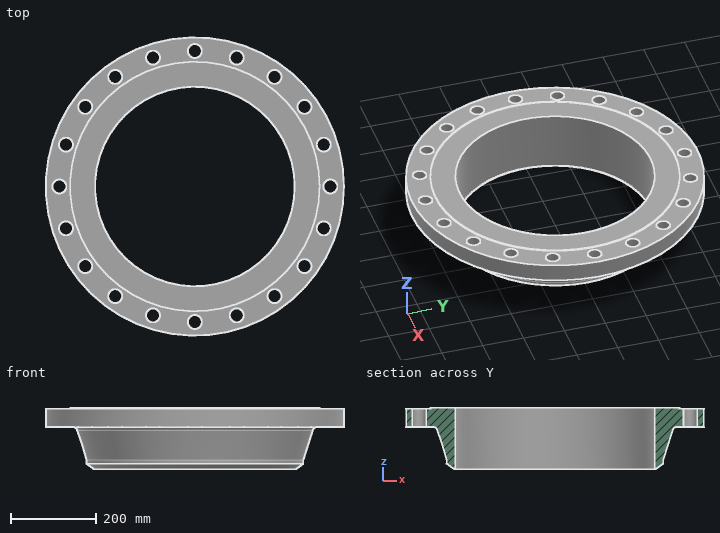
import cadquery as cq

flange_diameter = 698.5
flange_thickness = 43.0
total_height = 144.5

face_diameter = 584.0
face_height = 2.0

bore_diameter = 466.5
hub_top_diameter = 557.5
neck_diameter = 508.5
neck_tip_diameter = 472.0
neck_bevel_height = 13.0
neck_straight_height = 9.0
root_radius = 10.5

bolt_count = 20
bolt_circle_diameter = 634.0
bolt_hole_diameter = 32.0

flange_top = total_height - face_height
flange_bottom = flange_top - flange_thickness
taper_bottom = neck_bevel_height + neck_straight_height


def make_neck_flange():
    """Revolve the half section of the flange, hub and bevelled weld end about Z."""
    section = (
        cq.Workplane("XZ")
        .moveTo(bore_diameter / 2, 0)
        .lineTo(neck_tip_diameter / 2, 0)
        .lineTo(neck_diameter / 2, neck_bevel_height)
        .lineTo(neck_diameter / 2, taper_bottom)
        .lineTo(hub_top_diameter / 2, flange_bottom)
        .lineTo(flange_diameter / 2, flange_bottom)
        .lineTo(flange_diameter / 2, flange_top)
        .lineTo(face_diameter / 2, flange_top)
        .lineTo(face_diameter / 2, total_height)
        .lineTo(bore_diameter / 2, total_height)
        .close()
    )
    return section.revolve(360, (0, 0, 0), (0, 1, 0))


def round_hub_root(body):
    """Round the inner corner where the hub meets the back of the flange."""
    margin = root_radius / 2
    reach = hub_top_diameter / 2 + margin
    hub_root = cq.selectors.BoxSelector(
        (-reach, -reach, flange_bottom - margin),
        (reach, reach, flange_bottom + margin),
        boundingbox=True,
    )
    return body.edges("%CIRCLE").edges(hub_root).fillet(root_radius)


def make_bolt_holes():
    """Cylinders through the flange, evenly spaced on the bolt circle."""
    return (
        cq.Workplane("XY", origin=(0, 0, flange_bottom))
        .polarArray(bolt_circle_diameter / 2, 0, 360, bolt_count)
        .circle(bolt_hole_diameter / 2)
        .extrude(flange_thickness)
    )


result = round_hub_root(make_neck_flange()).cut(make_bolt_holes())